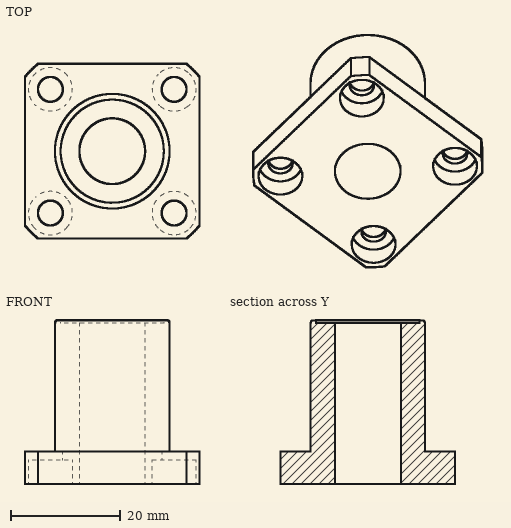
import cadquery as cq

flange_width = 32.0
flange_corner_diameter = 42.0
flange_thickness = 6.0

total_height = 30.0
sleeve_diameter = 21.0
sleeve_edge_radius = 0.5
bore_diameter = 12.0
recess_diameter = 18.88
recess_depth = 0.5

bolt_circle_diameter = 32.0
bolt_count = 4
first_bolt_angle = 45.0
screw_hole_diameter = 4.5
counterbore_diameter = 8.0
screw_seat_thickness = 1.6
counterbore_depth = flange_thickness - screw_seat_thickness


def cylinder(diameter, bottom, height):
    """Upright cylinder on the part axis, starting at the given height."""
    return cq.Workplane("XY").workplane(offset=bottom).circle(diameter / 2).extrude(height)


def make_flange():
    square = cq.Workplane("XY").rect(flange_width, flange_width).extrude(flange_thickness)
    return square.intersect(cylinder(flange_corner_diameter, 0, flange_thickness))


def make_sleeve():
    sleeve = cylinder(sleeve_diameter, 0, total_height)
    return sleeve.faces(">Z").edges().fillet(sleeve_edge_radius)


def bolt_cylinders(diameter, height):
    """Cylinders rising from the underside at every bolt position."""
    positions = cq.Workplane("XY").polarArray(bolt_circle_diameter / 2, first_bolt_angle, 360, bolt_count)
    return positions.circle(diameter / 2).extrude(height)


result = make_flange().union(make_sleeve())

result = result.cut(cylinder(bore_diameter, 0, total_height))
result = result.cut(cylinder(recess_diameter, total_height - recess_depth, recess_depth))

result = result.cut(bolt_cylinders(screw_hole_diameter, flange_thickness))
result = result.cut(bolt_cylinders(counterbore_diameter, counterbore_depth))